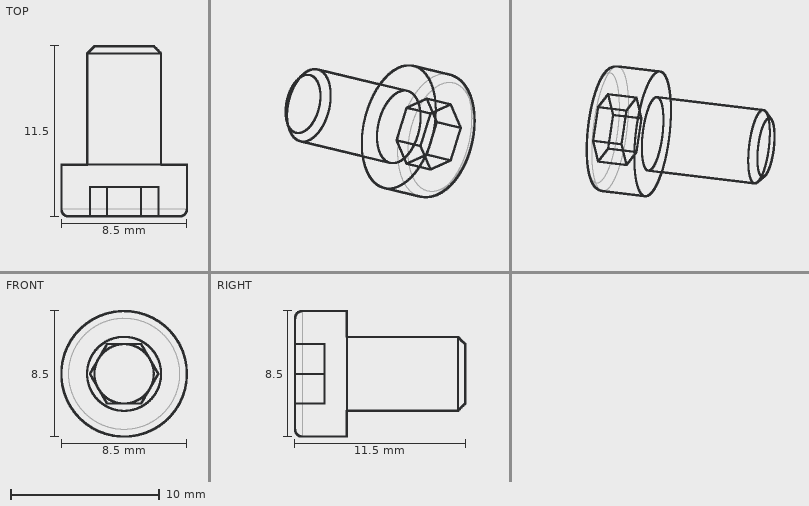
import cadquery as cq
import math

total_length = 11.5
head_diameter = 8.5
head_height = 3.5
head_rounding = 0.5
shank_diameter = 5.0
shank_length = total_length - head_height
tip_chamfer = 0.5
socket_across_flats = 4.0
socket_across_corners = socket_across_flats / math.cos(math.pi / 6)
socket_depth = 2.0


def along_y():
    """Workplane through the origin that extrudes toward +Y."""
    return cq.Workplane("XZ").transformed(rotate=(180, 0, 0))


def make_head():
    head = along_y().circle(head_diameter / 2).extrude(head_height)
    return head.faces("<Y").edges().fillet(head_rounding)


def make_shank():
    shank = along_y().workplane(offset=head_height).circle(shank_diameter / 2).extrude(shank_length)
    return shank.faces(">Y").edges().chamfer(tip_chamfer)


def make_socket():
    return along_y().polygon(6, socket_across_corners).extrude(socket_depth)


result = make_head().union(make_shank()).cut(make_socket())